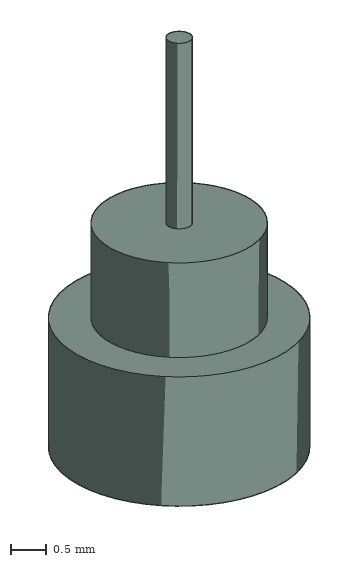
import cadquery as cq

total_height = 6.5
base_diameter = 3.7
base_height = 2.055
collar_diameter = 2.495
collar_height = 1.5
pin_diameter = 0.38

pin_height = total_height - base_height - collar_height


def add_cylinder(body, diameter, height):
    """Stack a concentric cylinder on the top face of the body."""
    return body.faces(">Z").workplane().circle(diameter / 2).extrude(height)


result = cq.Workplane("XY").circle(base_diameter / 2).extrude(base_height)
result = add_cylinder(result, collar_diameter, collar_height)
result = add_cylinder(result, pin_diameter, pin_height)